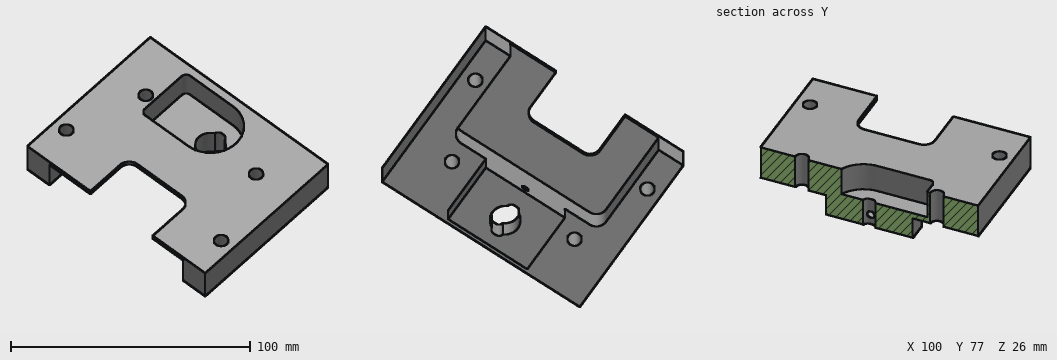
import cadquery as cq

plate_length = 100.0
plate_depth = 77.0
plate_thickness = 16.0
mid_x = plate_length / 2

boss_length = 40.0
boss_depth = 28.0
boss_drop = 10.0
boss_front_y = 44.0
total_height = boss_drop + plate_thickness

recess_length = 75.0
recess_corner_radius = 5.0
skin_thickness = 2.0

notch_left_x = 35.5
notch_length = 35.0
notch_depth = 23.7
notch_corner_radius = 5.0

pocket_left_x = 23.5
pocket_radius = 14.0
pocket_depth = 13.0
pocket_corner_radius = 2.5
pocket_y = 59.0

bore_diameter = 12.8
lobe_width = 5.6
lobe_span = 15.3
lobe_corner_radius = 2.2

mount_diameter = 6.0
rear_pair_spacing = 62.0
rear_pair_y = 53.0
front_pair_spacing = 87.0
front_pair_y = 17.2
cross_hole_diameter = 3.3
cross_hole_z = boss_drop / 2


def block(x, y, z, length, depth, height):
    """Box placed by its lowest left front corner."""
    return cq.Workplane("XY").box(length, depth, height, centered=False).translate((x, y, z))


def make_body():
    plate = block(0, 0, boss_drop, plate_length, plate_depth, plate_thickness)
    boss_left_x = mid_x - boss_length / 2
    boss = block(boss_left_x, boss_front_y, 0, boss_length, boss_depth, boss_drop)
    return plate.union(boss)


def make_recess():
    left_x = mid_x - recess_length / 2
    height = plate_thickness - skin_thickness
    recess = block(left_x, 0, boss_drop, recess_length, boss_front_y, height)
    return recess.edges("|Z and >Y").fillet(recess_corner_radius)


def make_notch():
    notch = block(notch_left_x, 0, boss_drop, notch_length, notch_depth, plate_thickness)
    return notch.edges("|Z and >Y").fillet(notch_corner_radius)


def make_pocket():
    floor_z = total_height - pocket_depth
    front_y = pocket_y - pocket_radius
    straight = block(
        pocket_left_x, front_y, floor_z, mid_x - pocket_left_x, 2 * pocket_radius, pocket_depth
    )
    straight = straight.edges("|Z and <X").fillet(pocket_corner_radius)
    round_end = (
        cq.Workplane("XY", origin=(mid_x, pocket_y, floor_z)).circle(pocket_radius).extrude(pocket_depth)
    )
    return straight.union(round_end)


def make_bore():
    axis = cq.Workplane("XY", origin=(mid_x, pocket_y, 0))
    round_bore = axis.circle(bore_diameter / 2).extrude(total_height)
    lobes = axis.rect(lobe_width, lobe_span).extrude(total_height)
    return round_bore.union(lobes.edges("|Z").fillet(lobe_corner_radius))


def make_mount_holes():
    centers = []
    for spacing, y in ((rear_pair_spacing, rear_pair_y), (front_pair_spacing, front_pair_y)):
        for side in (-1, 1):
            centers.append((mid_x + side * spacing / 2, y))
    return cq.Workplane("XY").pushPoints(centers).circle(mount_diameter / 2).extrude(total_height)


def make_cross_hole():
    """Hole from the boss front face into the bore."""
    start = cq.Workplane("XZ", origin=(mid_x, boss_front_y, cross_hole_z))
    return start.circle(cross_hole_diameter / 2).extrude(boss_front_y - pocket_y)


result = (
    make_body()
    .cut(make_recess())
    .cut(make_notch())
    .cut(make_pocket())
    .cut(make_bore())
    .cut(make_mount_holes())
    .cut(make_cross_hole())
)